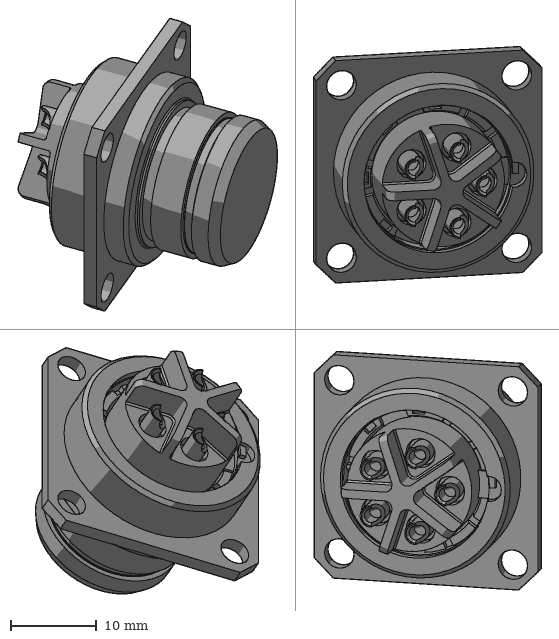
import cadquery as cq
import math


length = 27.05
shell_front = 6.38
flange_front = 11.93
flange_thickness = 1.65
shell_rear = 16.55
collar_rear = 17.01
coupling_front = 18.42
groove_front = 22.3
groove_rear = 23.65
nose_start = 25.78

shell_radius = 11.45
shell_chamfer = 0.5
collar_radius = 9.12
collar_chamfer = 0.2
neck_radius = 8.1
coupling_radius = 8.87
groove_radius = 8.25
groove_core_radius = 8.17
groove_shoulder = 0.15
nose_radius = 8.2

flange_side = 27.0
flange_corner = 2.33
bolt_offset = 10.47
bolt_hole_radius = 1.75

insert_radius = 7.4
gap_mouth_radius = 8.93
gap_floor_radius = 8.76
gap_floor = 8.52
gap_step = 7.3
seat_radius = 7.74
seat_depth = 0.8
slot_floor = gap_floor + seat_depth
narrow_slot_width = 1.0
narrow_slot_angles = (12, 115, 145)
wide_slot_width = 3.45
wide_slot_angle = 67.5
pocket_width = 1.45
pocket_inner_radius = 7.95
pocket_angles = (-90, -45, 0, 45, 90)

key_front = 8.22
key_width = 3.3
keyway_floor = 7.45
keyway_radius = 1.51
keyway_centre = 8.98
keyway_stop_front = 6.9
keyway_stop_outer = 9.63

contact_count = 5
sector_angle = 360 / contact_count
earth_sector = 180
sector_angles = [earth_sector + i * sector_angle for i in range(contact_count)]
arm_width = 1.05
arm_tip_fillet = 1.0
sector_floor = 3.55
earth_floor = 4.5
sector_corner_radius = 0.92
sector_edge_chamfer = 0.22

contact_circle = 4.81
cup_radius = 1.3
cup_tip = 1.14
earth_cup_tip = 2.22
cup_bore_radius = 0.85
cup_bore_depth = 2.7
cup_point_angle = 118
cup_countersink = 0.3
cup_cut_radius = 1.73
cup_recess_radius = 1.73
cup_recess_depth = 1.35

clearance = 0.27


def cylinder(x0, x1, radius, y=0.0, z=0.0):
    """Cylinder parallel to the axis between two stations."""
    return cq.Workplane("YZ", origin=(x0, 0, 0)).center(y, z).circle(radius).extrude(x1 - x0)


def radial_block(x0, x1, r0, r1, width, angle):
    """Straight-sided block reaching from r0 to r1 at one angle."""
    block = cq.Workplane("YZ", origin=(x0, 0, 0)).center((r0 + r1) / 2, 0)
    return block.rect(r1 - r0, width).extrude(x1 - x0).rotate((0, 0, 0), (1, 0, 0), angle)


def turned(outline):
    """Solid of revolution about the axis from (X, radius) points."""
    return cq.Workplane("XY").polyline(outline).close().revolve(360, (0, 0, 0), (1, 0, 0))


def make_shell():
    return turned([
        (shell_front, 0),
        (shell_front, shell_radius - shell_chamfer),
        (shell_front + shell_chamfer, shell_radius),
        (shell_rear - shell_chamfer, shell_radius),
        (shell_rear, shell_radius - shell_chamfer),
        (shell_rear, collar_radius),
        (shell_rear + collar_chamfer, collar_radius - collar_chamfer),
        (collar_rear, collar_radius - collar_chamfer),
        (collar_rear, neck_radius),
        (coupling_front, neck_radius),
        (coupling_front, coupling_radius),
        (groove_front, coupling_radius),
        (groove_front, groove_radius),
        (groove_front + groove_shoulder, groove_radius),
        (groove_front + groove_shoulder, groove_core_radius),
        (groove_rear - groove_shoulder, groove_core_radius),
        (groove_rear - groove_shoulder, groove_radius),
        (groove_rear, groove_radius),
        (groove_rear, coupling_radius),
        (nose_start, coupling_radius),
        (length, nose_radius),
        (length, 0),
    ])


def make_flange():
    plate = cq.Workplane("YZ", origin=(flange_front, 0, 0)).rect(flange_side, flange_side)
    plate = plate.extrude(flange_thickness).edges("|X").chamfer(flange_corner)
    holes = cq.Workplane("YZ", origin=(flange_front, 0, 0))
    holes = holes.rect(2 * bolt_offset, 2 * bolt_offset, forConstruction=True).vertices()
    return plate.cut(holes.circle(bolt_hole_radius).extrude(flange_thickness))


def make_gap():
    """Stepped annular gap with its conical seat, slots and pockets."""
    gap = turned([
        (shell_front, 0),
        (shell_front, gap_mouth_radius),
        (gap_step, gap_mouth_radius),
        (gap_step, gap_floor_radius),
        (gap_floor, gap_floor_radius),
        (gap_floor, seat_radius),
        (slot_floor, insert_radius),
        (slot_floor, 0),
    ])
    slots = radial_block(gap_floor, slot_floor, 0, gap_floor_radius, wide_slot_width, wide_slot_angle)
    slots = slots.union(slots.mirror("XY"))
    for angle in narrow_slot_angles:
        slot = radial_block(gap_floor, slot_floor, 0, gap_floor_radius, narrow_slot_width, angle)
        slots = slots.union(slot).union(slot.mirror("XY"))
    for angle in pocket_angles:
        slots = slots.union(
            radial_block(gap_floor, slot_floor, pocket_inner_radius, gap_floor_radius, pocket_width, angle))
    slots = slots.intersect(cylinder(gap_floor, slot_floor, gap_floor_radius))
    return gap.union(slots).cut(cylinder(shell_front, slot_floor, insert_radius))


def make_keyway():
    """Half-round recess in the shell face with a stop block filling its upper half."""
    keyway = cylinder(shell_front, keyway_floor, keyway_radius, -keyway_centre)
    stop = cq.Workplane("XY").box(
        keyway_floor - keyway_stop_front, keyway_stop_outer, keyway_radius, centered=False)
    stop = stop.translate((keyway_stop_front, -keyway_stop_outer, 0))
    stop = stop.cut(cylinder(shell_front, keyway_floor, gap_floor_radius))
    return keyway.cut(stop).cut(cylinder(shell_front, keyway_floor, insert_radius))


def make_sector(angle, floor):
    """Wedge-shaped clearance between two neighbouring arms."""
    half_angle = math.radians(sector_angle / 2)
    apex = arm_width / 2 / math.sin(half_angle)
    reach = 2 * insert_radius
    corner_y = apex + reach * math.cos(half_angle)
    corner_z = reach * math.sin(half_angle)
    wedge = cq.Workplane("YZ", origin=(-clearance, 0, 0))
    wedge = wedge.polyline([(apex, 0), (corner_y, corner_z), (corner_y, -corner_z)]).close()
    wedge = wedge.extrude(floor + clearance)
    wedge = wedge.edges("|X and <Y").fillet(sector_corner_radius)
    wedge = wedge.faces(">X").chamfer(sector_edge_chamfer)
    return wedge.rotate((0, 0, 0), (1, 0, 0), angle)


def make_cup(y, z, tip, base):
    """Hollow solder cup, scooped away on its -Y side."""
    bore_end = tip + cup_bore_depth
    point = cup_bore_radius / math.tan(math.radians(cup_point_angle / 2))
    bore = turned([
        (tip, 0),
        (tip, cup_bore_radius + cup_countersink),
        (tip + cup_countersink, cup_bore_radius),
        (bore_end, cup_bore_radius),
        (bore_end + point, 0),
    ]).translate((0, y, z))
    scoop = cq.Workplane("XY").center(tip, y - cup_cut_radius).circle(cup_cut_radius)
    scoop = scoop.extrude(cup_radius + clearance, both=True).translate((0, 0, z))
    return cylinder(tip, base, cup_radius, y, z).cut(scoop), bore


def make_insert():
    insert = cylinder(0, slot_floor, insert_radius).faces("<X").edges().fillet(arm_tip_fillet)
    for angle in sector_angles:
        is_earth = angle == earth_sector
        floor = earth_floor if is_earth else sector_floor
        tip = earth_cup_tip if is_earth else cup_tip
        recess_floor = floor + cup_recess_depth
        y = contact_circle * math.cos(math.radians(angle))
        z = contact_circle * math.sin(math.radians(angle))
        cup, bore = make_cup(y, z, tip, recess_floor)
        insert = insert.cut(make_sector(angle, floor))
        insert = insert.cut(cylinder(floor, recess_floor, cup_recess_radius, y, z))
        insert = insert.union(cup).cut(bore)
    return insert


def make_key():
    """Block across the gap that keys the insert to the shell."""
    key = radial_block(key_front, slot_floor, 0, gap_mouth_radius, key_width, earth_sector)
    return key.cut(cylinder(key_front, slot_floor, insert_radius))


shell = make_shell().union(make_flange())
shell = shell.cut(cylinder(shell_front, slot_floor, insert_radius))
shell = shell.cut(make_gap()).union(make_key()).cut(make_keyway())
result = shell.union(make_insert())